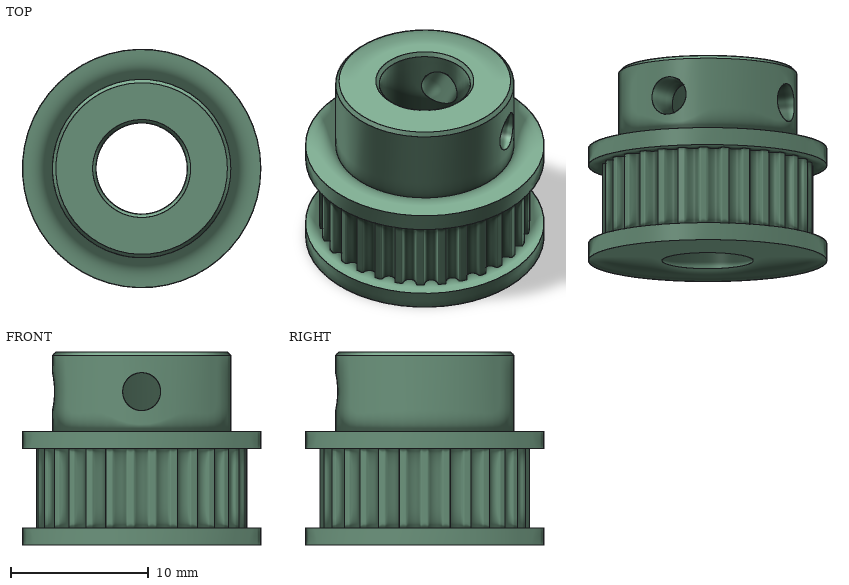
import cadquery as cq
import math

total_height = 14.0
flange_diameter = 17.29
flange_thickness = 1.25
belt_track_height = 5.75
hub_diameter = 12.93
edge_chamfer = 0.25

bore_diameter = 6.6
screw_hole_diameter = 2.75
screw_hole_directions = [(-1, 0, 0), (0, -1, 0)]

tooth_count = 30
tooth_tip_diameter = 15.26
groove_depth = 0.61
groove_floor_radius = 0.457
groove_floor_half_width = 0.4
groove_side_radius = 0.824
tooth_tip_fillet = 0.11
first_groove_angle = -90.0

track_bottom = flange_thickness
track_top = track_bottom + belt_track_height
hub_bottom = track_top + flange_thickness
screw_hole_height = (hub_bottom + total_height) / 2
tooth_tip_radius = tooth_tip_diameter / 2


def disc(diameter, bottom, top):
    """Solid cylinder on the Z axis between two heights."""
    return cq.Workplane("XY").workplane(offset=bottom).circle(diameter / 2).extrude(top - bottom)


def groove_cutter():
    """One belt groove on the +X side: a round floor running tangentially into two wider side arcs."""
    floor_centre = tooth_tip_radius - groove_depth + groove_floor_radius
    join_angle = math.asin(groove_floor_half_width / groove_floor_radius)

    centre_gap = groove_side_radius - groove_floor_radius
    side_centre_x = floor_centre + centre_gap * math.cos(join_angle)
    side_centre_y = -centre_gap * math.sin(join_angle)

    def side_point(angle):
        x = side_centre_x - groove_side_radius * math.cos(angle)
        y = side_centre_y + groove_side_radius * math.sin(angle)
        return x, y

    mouth_angle = math.pi / 2
    join_x, join_y = side_point(join_angle)
    middle_x, middle_y = side_point((join_angle + mouth_angle) / 2)
    mouth_x, mouth_y = side_point(mouth_angle)

    return (
        cq.Workplane("XY")
        .workplane(offset=track_bottom)
        .moveTo(mouth_x, -mouth_y)
        .threePointArc((middle_x, -middle_y), (join_x, -join_y))
        .threePointArc((tooth_tip_radius - groove_depth, 0), (join_x, join_y))
        .threePointArc((middle_x, middle_y), (mouth_x, mouth_y))
        .close()
        .extrude(belt_track_height)
    )


def belt_track():
    """Toothed drum with rounded tooth tips."""
    track = disc(tooth_tip_diameter, track_bottom, track_top).rotate((0, 0, 0), (0, 0, 1), first_groove_angle)
    cutter = groove_cutter()
    for index in range(tooth_count):
        angle = first_groove_angle + index * 360 / tooth_count
        track = track.cut(cutter.rotate((0, 0, 0), (0, 0, 1), angle))

    tip_edges = track.edges("|Z").filter(
        lambda edge: math.hypot(edge.Center().x, edge.Center().y) > tooth_tip_radius - tooth_tip_fillet
    )
    return tip_edges.fillet(tooth_tip_fillet)


def hub():
    """Plain hub above the upper flange with a chamfered top rim."""
    return disc(hub_diameter, hub_bottom, total_height).faces(">Z").edges().chamfer(edge_chamfer)


def shaft_bore():
    """Through bore, chamfered at the hub end."""
    bore = disc(bore_diameter, 0, total_height)
    chamfer_cone = cq.Workplane("XY").add(
        cq.Solid.makeCone(
            bore_diameter / 2,
            bore_diameter / 2 + edge_chamfer,
            edge_chamfer,
            pnt=cq.Vector(0, 0, total_height - edge_chamfer),
        )
    )
    return bore.union(chamfer_cone)


def screw_hole(direction):
    """Radial set-screw hole from the axis out through one side of the hub."""
    return cq.Solid.makeCylinder(
        screw_hole_diameter / 2,
        hub_diameter,
        pnt=cq.Vector(0, 0, screw_hole_height),
        dir=cq.Vector(*direction),
    )


pulley = (
    belt_track()
    .union(disc(flange_diameter, 0, track_bottom))
    .union(disc(flange_diameter, track_top, hub_bottom))
    .union(hub())
    .cut(shaft_bore())
)
for hole_direction in screw_hole_directions:
    pulley = pulley.cut(screw_hole(hole_direction))

result = pulley